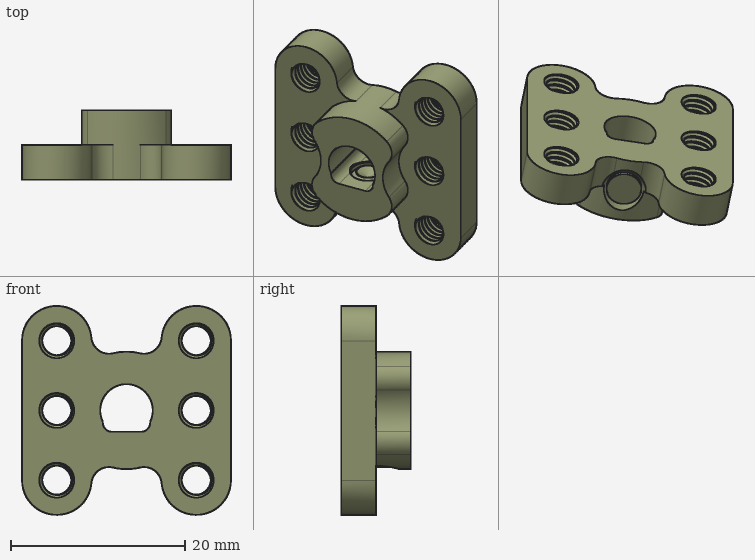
import cadquery as cq
import math

plate_thickness = 4.0
hole_pitch = 8.0
lobe_radius = 4.0
blend_radius = 2.0
side_x = hole_pitch + lobe_radius

hub_radius = 6.75
hub_length = 4.0
hub_edge_radius = 2.0
head_clearance_radius = 4.0
total_depth = plate_thickness + hub_length

bore_radius = 3.0
bore_flat_z = -2.43
bore_flat_side_x = 2.7
bore_corner_radius = 1.0

thread_major_radius = 2.0
thread_minor_radius = 1.65
thread_pitch = 0.7
thread_root_width = thread_pitch / 8
thread_mouth_width = thread_pitch * 0.8
thread_overlap = 0.05
thread_start_angle = 180.0
entry_radius = 2.01

screw_radius = 2.0
screw_length = 4.0
screw_y = total_depth / 2
screw_tip_z = -2.5
screw_tip_chamfer = 0.6
screw_cup_radius = 1.3
screw_cup_depth = 0.7

inner_mouth_radius = 2.1
outer_mouth_radius = 2.7


def cylinder_along_y(x, y, radius, length):
    """Cylinder that starts at depth y and points along +Y, on the Z = 0 level."""
    return cq.Workplane("XZ", origin=(x, y, 0)).circle(radius).extrude(-length)


def flip(point, x_sign, z_sign):
    return point[0] * x_sign, point[1] * z_sign


def point_toward(start, end, distance):
    """Point at a distance from start on the line to end."""
    ratio = distance / math.dist(start, end)
    return start[0] + (end[0] - start[0]) * ratio, start[1] + (end[1] - start[1]) * ratio


def blend_centre():
    """Centre of the concave arc touching the waist circle and the upper right lobe."""
    to_waist = hub_radius + blend_radius
    to_lobe = lobe_radius + blend_radius
    lobe_distance = math.hypot(hole_pitch, hole_pitch)
    cosine = (to_waist**2 + lobe_distance**2 - to_lobe**2) / (2 * to_waist * lobe_distance)
    angle = math.atan2(hole_pitch, hole_pitch) + math.acos(cosine)
    return to_waist * math.cos(angle), to_waist * math.sin(angle)


def make_plate():
    lobe = (hole_pitch, hole_pitch)
    lobe_top = (hole_pitch, side_x)
    blend = blend_centre()
    waist_end = point_toward((0, 0), blend, hub_radius)
    lobe_end = point_toward(lobe, blend, lobe_radius)
    chord_middle = ((waist_end[0] + lobe_end[0]) / 2, (waist_end[1] + lobe_end[1]) / 2)
    blend_middle = point_toward(blend, chord_middle, blend_radius)

    outline = cq.Workplane("XZ").moveTo(side_x, -hole_pitch)
    for turn in (1, -1):
        outline = (
            outline.lineTo(turn * side_x, turn * hole_pitch)
            .threePointArc(flip(lobe_top, turn, turn), flip(lobe_end, turn, turn))
            .threePointArc(flip(blend_middle, turn, turn), flip(waist_end, turn, turn))
            .threePointArc((0, turn * hub_radius), flip(waist_end, -turn, turn))
            .threePointArc(flip(blend_middle, -turn, turn), flip(lobe_end, -turn, turn))
            .threePointArc(flip(lobe_top, -turn, turn), (-turn * side_x, turn * hole_pitch))
        )
    return outline.close().extrude(-plate_thickness)


def make_hub():
    hub = cylinder_along_y(0, plate_thickness, hub_radius, hub_length)
    for x in (-hole_pitch, hole_pitch):
        hub = hub.cut(cylinder_along_y(x, plate_thickness, head_clearance_radius, hub_length))
    return hub.edges("|Y").edges(">Z or <Z").fillet(hub_edge_radius)


def make_bore():
    """Round bore above, flat with rounded corners below."""
    corner_z = bore_flat_z + bore_corner_radius
    round_start_z = -math.sqrt(bore_radius**2 - bore_flat_side_x**2)
    flat_end_x = bore_flat_side_x - bore_corner_radius
    corner_reach = bore_corner_radius * math.sqrt(0.5)
    corner_middle_x = flat_end_x + corner_reach
    corner_middle_z = corner_z - corner_reach
    return (
        cq.Workplane("XZ")
        .moveTo(-flat_end_x, bore_flat_z)
        .lineTo(flat_end_x, bore_flat_z)
        .threePointArc((corner_middle_x, corner_middle_z), (bore_flat_side_x, corner_z))
        .lineTo(bore_flat_side_x, round_start_z)
        .threePointArc((0, bore_radius), (-bore_flat_side_x, round_start_z))
        .lineTo(-bore_flat_side_x, corner_z)
        .threePointArc((-corner_middle_x, corner_middle_z), (-flat_end_x, bore_flat_z))
        .close()
        .extrude(-total_depth)
    )


def make_tap():
    """Solid that leaves a threaded hole along +Y with a conical entry at Y = 0."""
    tap_start = -thread_pitch
    tap_length = plate_thickness + 2 * thread_pitch
    thread_depth = thread_major_radius - thread_minor_radius
    flank_run = (thread_mouth_width - thread_root_width) / 2 / thread_depth
    inner_radius = thread_minor_radius - thread_overlap
    inner_half_width = thread_mouth_width / 2 + flank_run * thread_overlap
    helix = cq.Wire.makeHelix(thread_pitch, tap_length, thread_minor_radius)
    ridge = (
        cq.Workplane("XZ")
        .moveTo(inner_radius, -inner_half_width)
        .lineTo(thread_major_radius, -thread_root_width / 2)
        .lineTo(thread_major_radius, thread_root_width / 2)
        .lineTo(inner_radius, inner_half_width)
        .close()
        .sweep(cq.Workplane(helix), isFrenet=True)
        .translate((0, 0, tap_start))
        .rotate((0, 0, 0), (0, 0, 1), thread_start_angle)
    )
    core = (
        cq.Workplane("XZ")
        .moveTo(0, tap_start)
        .lineTo(entry_radius, tap_start)
        .lineTo(entry_radius, 0)
        .lineTo(thread_minor_radius, entry_radius - thread_minor_radius)
        .lineTo(thread_minor_radius, tap_start + tap_length)
        .lineTo(0, tap_start + tap_length)
        .close()
        .revolve(360, (0, 0), (0, 1))
    )
    return core.union(ridge).rotate((0, 0, 0), (1, 0, 0), -90)


def make_screw_hole():
    """Hole from the bore flat down through the hub, with a 45 degree cone at each end."""
    inner_cone_depth = inner_mouth_radius - screw_radius
    outer_cone_depth = outer_mouth_radius - screw_radius
    return (
        cq.Workplane("XZ", origin=(0, screw_y, 0))
        .moveTo(0, bore_flat_z)
        .lineTo(inner_mouth_radius, bore_flat_z)
        .lineTo(screw_radius, bore_flat_z - inner_cone_depth)
        .lineTo(screw_radius, outer_cone_depth - hub_radius)
        .lineTo(outer_mouth_radius, -hub_radius)
        .lineTo(0, -hub_radius)
        .close()
        .revolve(360, (0, 0), (0, 1))
    )


def make_inner_mouth():
    """Straight continuation of the screw hole through the rounded bore corners."""
    return (
        cq.Workplane("XY", origin=(0, screw_y, bore_flat_z))
        .circle(inner_mouth_radius)
        .extrude(bore_corner_radius)
    )


def make_housing():
    housing = make_plate().union(make_hub()).cut(make_bore())
    housing = housing.cut(make_screw_hole()).cut(make_inner_mouth())
    tap = make_tap()
    for x in (-hole_pitch, hole_pitch):
        for z in (-hole_pitch, 0, hole_pitch):
            housing = housing.cut(tap.translate((x, 0, z)))
    return housing


def make_set_screw():
    """Cup point set screw with its point toward +Z."""
    cup_floor_z = screw_tip_z - screw_cup_depth
    shoulder_z = screw_tip_z - screw_tip_chamfer
    end_z = screw_tip_z - screw_length
    return (
        cq.Workplane("XZ", origin=(0, screw_y, 0))
        .moveTo(0, cup_floor_z)
        .lineTo(screw_cup_radius, screw_tip_z)
        .lineTo(screw_radius - screw_tip_chamfer, screw_tip_z)
        .lineTo(screw_radius, shoulder_z)
        .lineTo(screw_radius, end_z)
        .lineTo(0, end_z)
        .close()
        .revolve(360, (0, 0), (0, 1))
    )


housing = make_housing()
set_screw = make_set_screw()
result = cq.Compound.makeCompound([housing.val(), set_screw.val()])